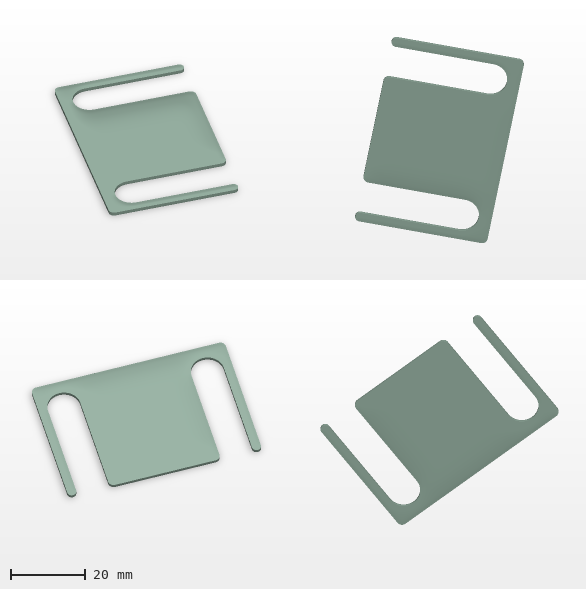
import cadquery as cq

plate_width = 54.0
plate_length = 36.0
plate_thickness = 1.0

arm_width = 2.5
slot_width = 9.0
base_width = 3.5

plate_corner_radius = 1.5
tongue_corner_radius = 1.5

tongue_width = plate_width - 2 * (arm_width + slot_width)
slot_center_x = (tongue_width + slot_width) / 2
slot_radius = slot_width / 2
arm_tip_radius = arm_width / 2
arm_center_x = (plate_width - arm_width) / 2
arm_tip_center_y = plate_length / 2 - arm_tip_radius
slot_end_center_y = -plate_length / 2 + base_width + slot_radius


def rounded_base():
    """Strip with rounded lower corners, reaching up to the slot end centres."""
    lower_edge_y = -plate_length / 2
    height = slot_end_center_y - lower_edge_y
    return (
        cq.Workplane("XY")
        .box(plate_width, height, plate_thickness, centered=(True, False, False))
        .translate((0, lower_edge_y, 0))
        .edges("|Z and <Y")
        .fillet(plate_corner_radius)
    )


def tongue():
    """Central panel with rounded upper corners."""
    return (
        cq.Workplane("XY")
        .box(tongue_width, plate_length, plate_thickness, centered=(True, True, False))
        .edges("|Z and >Y")
        .fillet(tongue_corner_radius)
    )


def arm(side):
    """Slender side arm with a fully round tip; side is -1 or +1."""
    length = arm_tip_center_y - slot_end_center_y
    shank = (
        cq.Workplane("XY")
        .box(arm_width, length, plate_thickness, centered=(True, False, False))
        .translate((side * arm_center_x, slot_end_center_y, 0))
    )
    tip = (
        cq.Workplane("XY")
        .center(side * arm_center_x, arm_tip_center_y)
        .circle(arm_tip_radius)
        .extrude(plate_thickness)
    )
    return shank.union(tip)


def slot_end(side):
    """Cylinder that rounds the closed end of a slot; side is -1 or +1."""
    return (
        cq.Workplane("XY")
        .center(side * slot_center_x, slot_end_center_y)
        .circle(slot_radius)
        .extrude(plate_thickness)
    )


result = rounded_base()
for side in (-1, 1):
    result = result.cut(slot_end(side))
result = result.union(tongue())
for side in (-1, 1):
    result = result.union(arm(side))
result = result.clean()